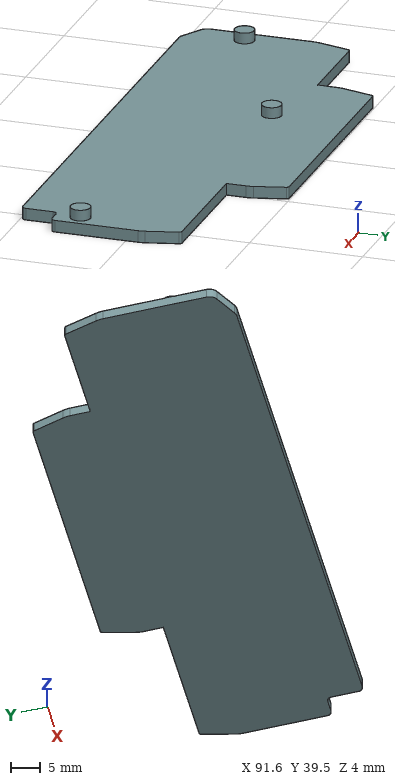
import cadquery as cq
import math

length = 91.6
depth = 39.5
plate_thickness = 2.1
total_height = 4.0

shoulder_y = 29.0
step_left = 18.6
step_right = 66.3

taper_inset = 1.65
shoulder_taper_y = 22.5
step_taper_y = 33.2
taper_bend_radius = 5.0
taper_tip_radius = 0.5

slope_length = 4.9
slope_angle = 30.0
slope_rise = slope_length * math.tan(math.radians(slope_angle))
slope_radius = 1.8

notch_width = 3.7
notch_depth = 6.4
notch_x = length - notch_width
notch_radius = 0.8

pin_radius = 1.7
pin_centers = [(3.0, 10.8), (34.0, 26.1), (88.85, 10.8)]


def round_corners(plate, corners, radius):
    """Fillet the upright plate edges standing at the given XY corners."""
    for x, y in corners:
        nearest = cq.selectors.NearestToPointSelector((x, y, plate_thickness / 2))
        plate = plate.edges("|Z").edges(nearest).fillet(radius)
    return plate


def make_plate():
    slope_corners = [(0, slope_rise), (slope_length, 0)]
    notch_corners = [(notch_x, 0), (notch_x, notch_depth), (length, notch_depth)]
    right_bend = (length, shoulder_taper_y)
    right_tip = (length - taper_inset, shoulder_y)
    step_right_bend = (step_right, step_taper_y)
    step_right_tip = (step_right - taper_inset, depth)
    step_left_tip = (step_left + taper_inset, depth)
    step_left_bend = (step_left, step_taper_y)
    left_tip = (taper_inset, shoulder_y)
    left_bend = (0, shoulder_taper_y)

    outline = [
        *slope_corners,
        *notch_corners,
        right_bend,
        right_tip,
        (step_right, shoulder_y),
        step_right_bend,
        step_right_tip,
        step_left_tip,
        step_left_bend,
        (step_left, shoulder_y),
        left_tip,
        left_bend,
    ]
    plate = cq.Workplane("XY").polyline(outline).close().extrude(plate_thickness)

    bends = [right_bend, step_right_bend, step_left_bend, left_bend]
    tips = [right_tip, step_right_tip, step_left_tip, left_tip]
    plate = round_corners(plate, slope_corners, slope_radius)
    plate = round_corners(plate, notch_corners, notch_radius)
    plate = round_corners(plate, bends, taper_bend_radius)
    return round_corners(plate, tips, taper_tip_radius)


def make_pins():
    return cq.Workplane("XY").pushPoints(pin_centers).circle(pin_radius).extrude(total_height)


result = make_plate().union(make_pins())